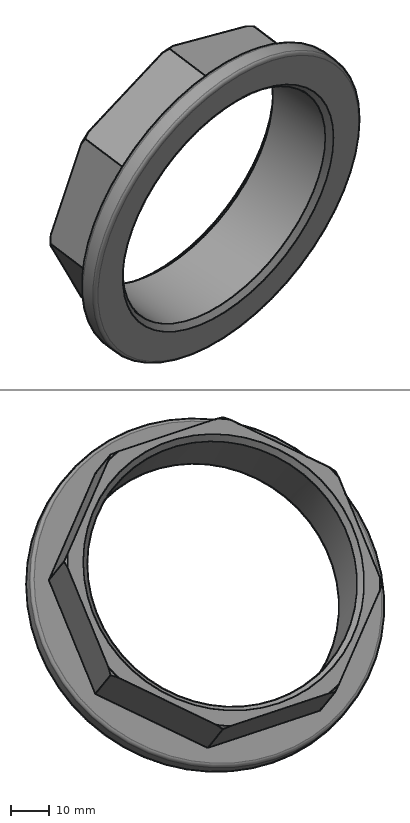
import cadquery as cq

total_length = 23.0
flange_diameter = 95.0
flange_thickness = 5.6
flange_edge_radius = 0.95
octagon_corner_diameter = 85.1
octagon_sides = 8
corner_bevel = 0.8
bore_diameter = 72.2
bore_chamfer = 1.5

octagon_length = total_length - flange_thickness


def make_flange():
    """Round flange with both outer edges rounded."""
    disc = (
        cq.Workplane("YZ", origin=(octagon_length, 0, 0))
        .circle(flange_diameter / 2)
        .extrude(flange_thickness)
    )
    return disc.edges().fillet(flange_edge_radius)


def make_octagon():
    """Wrench octagon, corners on the Y and Z axes, bevelled at its free end."""
    prism_length = octagon_length + flange_thickness / 2
    prism = (
        cq.Workplane("YZ")
        .polygon(octagon_sides, octagon_corner_diameter)
        .extrude(prism_length)
    )
    bevelled_cylinder = (
        cq.Workplane("YZ")
        .circle(octagon_corner_diameter / 2)
        .extrude(prism_length)
        .faces("<X")
        .chamfer(corner_bevel)
    )
    return prism.intersect(bevelled_cylinder)


def make_bore():
    """Through bore with a 45 degree chamfer at both mouths, revolved about X."""
    radius = bore_diameter / 2
    mouth_radius = radius + bore_chamfer
    profile = (
        cq.Workplane("XY")
        .moveTo(0, 0)
        .lineTo(0, mouth_radius)
        .lineTo(bore_chamfer, radius)
        .lineTo(total_length - bore_chamfer, radius)
        .lineTo(total_length, mouth_radius)
        .lineTo(total_length, 0)
        .close()
    )
    return profile.revolve(360, (0, 0, 0), (1, 0, 0))


result = make_flange().union(make_octagon()).cut(make_bore())